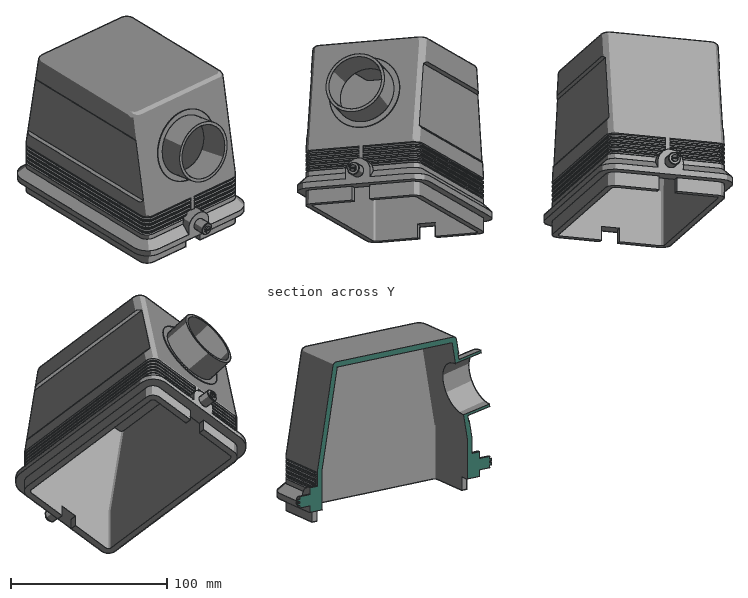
import cadquery as cq
import math

BODY_LENGTH = 120.5
BODY_WIDTH = 79.5
BODY_HEIGHT = 107.0
TAPER_START_Z = 36.3
END_TAPER = 10.0
CORNER_RADIUS = 6.25
TOP_EDGE_RADIUS = 3.0
WALL = 4.0

FLANGE_LENGTH = 132.0
FLANGE_WIDTH = 90.0
FLANGE_CORNER_RADIUS = 11.5
FLANGE_BOTTOM_Z = 9.1
FLANGE_SHOULDER_Z = 13.0
FLANGE_TOP_Z = 18.2

GROOVE_COUNT = 5
GROOVE_FIRST_Z = 22.45
GROOVE_PITCH = 2.9
GROOVE_MOUTH = 2.0
GROOVE_FLOOR = 1.0
GROOVE_DEPTH = 1.0
BRIDGE_WIDTH = 3.0

RECESS_DEPTH = 1.4
RECESS_BOTTOM_Z = 44.8
RECESS_TOP_Z = 90.2
RECESS_SLOPE = 1.7

PORT_DIAMETER = 40.0
PORT_BORE = 36.0
PORT_LENGTH = 16.7
PORT_WALL_Z = 71.5
PORT_ROOT = WALL / 2
PORT_BORE_DEPTH = 2 * WALL
SPOTFACE_DIAMETER = 48.0
SPOTFACE_DEPTH = 0.5

PIN_Z = 17.5
BOSS_RADIUS = 8.5
PIN_DIAMETER = 8.0
PIN_LENGTH = 7.95
PIN_CHAMFER = 0.3
TIP_DIAMETER = 4.4
TIP_LENGTH = 1.3
TIP_SLOT = 1.0

NOTCH_WIDTH = 12.0

TAN_TAPER = math.tan(math.radians(END_TAPER))
COS_TAPER = math.cos(math.radians(END_TAPER))
SIN_TAPER = math.sin(math.radians(END_TAPER))


def end_wall_x(z):
    """X of the +X end wall at height z on the tapered part."""
    return BODY_LENGTH / 2 - (z - TAPER_START_Z) * TAN_TAPER


def rounded_sketch(length, width, radius):
    return cq.Sketch().rect(length, width).vertices().fillet(radius)


def rounded_prism(length, width, radius, bottom, top):
    sketch = rounded_sketch(length, width, radius)
    return cq.Workplane("XY").workplane(offset=bottom).placeSketch(sketch).extrude(top - bottom)


def rounded_loft(lower, upper, bottom, top):
    """Ruled transition between two (length, width, radius) outlines."""
    lower_sketch = rounded_sketch(*lower)
    upper_sketch = rounded_sketch(*upper).moved(cq.Location(cq.Vector(0, 0, top - bottom)))
    base = cq.Workplane("XY").workplane(offset=bottom)
    return base.placeSketch(lower_sketch, upper_sketch).loft(ruled=True)


def hood_block(inset):
    """Hood outline moved inwards by inset on its ends, sides and top."""
    half_length = BODY_LENGTH / 2 - inset
    top_z = BODY_HEIGHT - inset
    half_top = half_length - (top_z - TAPER_START_Z) * TAN_TAPER
    profile = [
        (-half_length, 0),
        (half_length, 0),
        (half_length, TAPER_START_Z),
        (half_top, top_z),
        (-half_top, top_z),
        (-half_length, TAPER_START_Z),
    ]
    width = BODY_WIDTH - 2 * inset
    block = cq.Workplane("XZ").polyline(profile).close().extrude(width / 2, both=True)
    corners = block.faces("<Y or >Y").edges("not |X")
    return corners.fillet(CORNER_RADIUS - inset)


def hood_body():
    return hood_block(0).faces(">Z").edges().fillet(TOP_EDGE_RADIUS)


def side_recesses():
    outer = BODY_WIDTH / 2
    inner = outer - RECESS_DEPTH
    profile = [
        (outer, RECESS_BOTTOM_Z),
        (inner, RECESS_BOTTOM_Z + RECESS_SLOPE),
        (inner, RECESS_TOP_Z - RECESS_SLOPE),
        (outer, RECESS_TOP_Z),
    ]
    recess = cq.Workplane("YZ").polyline(profile).close().extrude(BODY_LENGTH / 2, both=True)
    return recess.union(recess.mirror("XZ"))


def grip_groove(centre_z):
    outer = (BODY_LENGTH, BODY_WIDTH, CORNER_RADIUS)
    inner = (
        BODY_LENGTH - 2 * GROOVE_DEPTH,
        BODY_WIDTH - 2 * GROOVE_DEPTH,
        CORNER_RADIUS - GROOVE_DEPTH,
    )
    mouth_bottom = centre_z - GROOVE_MOUTH / 2
    floor_bottom = centre_z - GROOVE_FLOOR / 2
    floor_top = centre_z + GROOVE_FLOOR / 2
    mouth_top = centre_z + GROOVE_MOUTH / 2
    core = (
        rounded_prism(*inner, floor_bottom, floor_top)
        .union(rounded_loft(outer, inner, mouth_bottom, floor_bottom))
        .union(rounded_loft(inner, outer, floor_top, mouth_top))
    )
    bridge = cq.Workplane("XY").box(BODY_LENGTH, BRIDGE_WIDTH, GROOVE_MOUTH).translate((0, 0, centre_z))
    return rounded_prism(*outer, mouth_bottom, mouth_top).cut(core).cut(bridge)


def flange():
    outer = (FLANGE_LENGTH, FLANGE_WIDTH, FLANGE_CORNER_RADIUS)
    body = (BODY_LENGTH, BODY_WIDTH, CORNER_RADIUS)
    rim = rounded_prism(*outer, FLANGE_BOTTOM_Z, FLANGE_SHOULDER_Z)
    return rim.union(rounded_loft(outer, body, FLANGE_SHOULDER_Z, FLANGE_TOP_Z))


def pin_bosses():
    """Round-topped bosses on both ends, level with the flange rim."""
    base_height = PIN_Z - FLANGE_BOTTOM_Z
    dome = cq.Workplane("YZ").center(0, PIN_Z).circle(BOSS_RADIUS).extrude(FLANGE_LENGTH / 2, both=True)
    base = cq.Workplane("XY").box(FLANGE_LENGTH, 2 * BOSS_RADIUS, base_height)
    base = base.translate((0, 0, FLANGE_BOTTOM_Z + base_height / 2))
    above_rim = cq.Workplane("XY").workplane(offset=FLANGE_BOTTOM_Z).rect(FLANGE_LENGTH, FLANGE_WIDTH)
    return dome.union(base).intersect(above_rim.extrude(BODY_HEIGHT))


def locking_pin():
    """Slotted pin standing on the +X boss."""
    root_x = FLANGE_LENGTH / 2
    shank = cq.Workplane("YZ", origin=(root_x, 0, PIN_Z)).circle(PIN_DIAMETER / 2).extrude(PIN_LENGTH)
    shank = shank.faces(">X").edges().chamfer(PIN_CHAMFER)
    tip_x = root_x + PIN_LENGTH
    tip = cq.Workplane("YZ", origin=(tip_x, 0, PIN_Z)).circle(TIP_DIAMETER / 2).extrude(TIP_LENGTH)
    slot = cq.Workplane("XY").box(TIP_LENGTH, TIP_DIAMETER, TIP_SLOT)
    slot = slot.translate((tip_x + TIP_LENGTH / 2, 0, PIN_Z))
    return shank.union(tip.cut(slot))


def port_cylinder(diameter, start, end):
    """Cylinder on the cable entry axis; distances run outwards from the wall."""
    wall_point = cq.Vector(end_wall_x(PORT_WALL_Z), 0, PORT_WALL_Z)
    axis = cq.Vector(COS_TAPER, 0, SIN_TAPER)
    plane = cq.Plane(origin=wall_point + axis * start, xDir=(0, 1, 0), normal=axis)
    return cq.Workplane(plane).circle(diameter / 2).extrude(end - start)


def skirt_notches():
    notch = cq.Workplane("XY").box(BODY_LENGTH, NOTCH_WIDTH, FLANGE_BOTTOM_Z)
    return notch.translate((0, 0, FLANGE_BOTTOM_Z / 2))


result = hood_body().cut(side_recesses())
for groove in range(GROOVE_COUNT):
    result = result.cut(grip_groove(GROOVE_FIRST_Z + groove * GROOVE_PITCH))
result = result.union(flange()).union(pin_bosses())

pin = locking_pin()
result = result.union(pin).union(pin.mirror("YZ"))

result = result.cut(hood_block(WALL)).cut(skirt_notches())
result = result.cut(port_cylinder(SPOTFACE_DIAMETER, -SPOTFACE_DEPTH, SPOTFACE_DEPTH))
result = result.union(port_cylinder(PORT_DIAMETER, -PORT_ROOT, PORT_LENGTH))
result = result.cut(port_cylinder(PORT_BORE, -PORT_BORE_DEPTH, PORT_LENGTH))